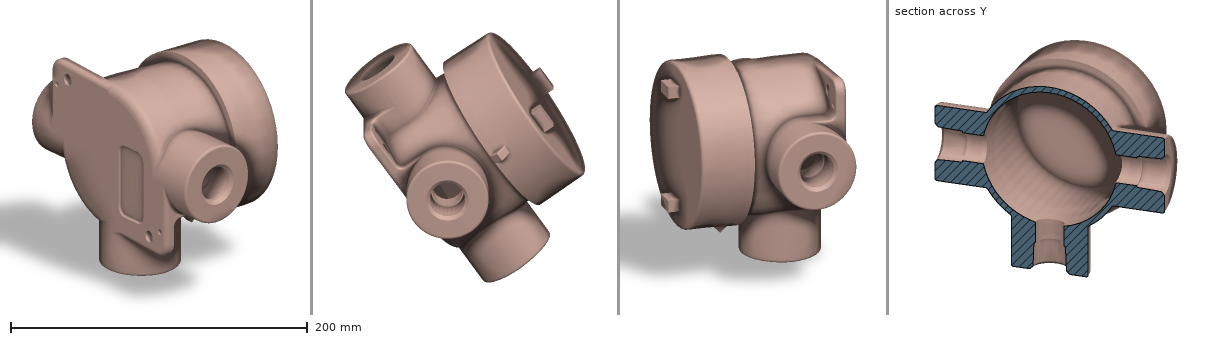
import cadquery as cq
import math


hub_reach = 82.5
hub_radius = 27.7
hub_end_draft = 1.0
hub_rim_fillet = 1.7
hub_angles = (0, 90, 180)
parting_y = hub_radius
entry_diameter = 28.7
entry_chamfer = 2.5
thread_depth = 19.8
thread_end_diameter = 22.5
bore_diameter = 20.1

body_radius = 53.0
body_front_fillet = 6.3
neck_diameter = 102.7
chamber_diameter = 97.0
front_wall = 6.6
blend_fillet = 1.5

ear_side = 61.3
ear_top = 52.0
ear_slope = 2.9
ear_corner_radius = 9.5
ear_thickness = 8.0
ear_front_fillet = 3.1
ear_back_fillet = 1.5
run_out_length = 15.8
pocket_fillet = 5.0
mount_hole_diameter = 8.1
mount_hole_offset = 43.3
pin_hole_diameter = 4.0
pin_hole_x = 54.8
pin_hole_z = 36.3

label_left = 10.7
label_width = 26.5
label_top = 14.5
label_height = 52.3
label_corner_radius = 6.6
label_depth = 1.3
label_wall_angle = 45

cover_front = 64.5
cover_back = 101.7
cover_radius = 58.1
cover_back_radius = 57.6
cover_rim_length = 6.3
cover_back_fillet = 2.1
cover_wall = 5.0
lug_width = 16.0
lug_inner = 36.3
lug_outer = 44.5
lug_back = 109.5
pointer_width = 6.6
pointer_tip = 64.9
pointer_half_base = 6.3
pointer_chamfer = 0.7

neck_end = cover_back - cover_wall
far = 2 * hub_reach


def around_body(shape, angle):
    """Turn a shape about the body axis."""
    return shape.rotate((0, 0, 0), (0, 1, 0), angle)


def revolve_about_y(points):
    """Turn an outline of (radius, y) points about the body axis."""
    return cq.Workplane("XY").polyline(points).close().revolve(360, (0, 0, 0), (0, 1, 0))


def cylinder_along_y(x, z, diameter, start, end):
    return cq.Workplane("XZ", origin=(x, start, z)).circle(diameter / 2).extrude(start - end)


def make_hub():
    """A hub along +X whose end slopes back both ways from the parting plane."""
    edge_reach = hub_reach - hub_radius * math.tan(math.radians(hub_end_draft))
    outline = [
        (0, 0),
        (edge_reach, 0),
        (hub_reach, parting_y),
        (edge_reach, 2 * parting_y),
        (0, 2 * parting_y),
    ]
    limits = cq.Workplane("XY").polyline(outline).close().extrude(hub_radius, both=True)
    hub = cq.Workplane("YZ", origin=(0, parting_y, 0)).circle(hub_radius).extrude(far).intersect(limits)
    return hub.edges("%ELLIPSE").fillet(hub_rim_fillet)


def make_hub_bore():
    """Chamfered, tapering entry along +X that ends on the lip of the through bore."""
    entry = entry_diameter / 2
    thread_start = entry - entry_chamfer
    bore = bore_diameter / 2
    outline = [
        (0, 0),
        (0, bore),
        (hub_reach - thread_depth, bore),
        (hub_reach - thread_depth, thread_end_diameter / 2),
        (hub_reach - entry_chamfer, thread_start),
        (hub_reach, entry),
        (far, entry),
        (far, 0),
    ]
    profile = cq.Workplane("XY").polyline(outline).close()
    return profile.revolve(360, (0, 0, 0), (1, 0, 0)).translate((0, parting_y, 0))


def make_ear(pocket_edge):
    """Upper left ear: a thin plate that thickens to a block beside the hubs.

    The pocket behind the plate is the part beyond X = -pocket_edge and above the left hub.
    """
    rise = ear_side * math.tan(math.radians(ear_slope))
    outline = [(0, 0), (0, ear_top), (-ear_side, ear_top + rise), (-ear_side, 0)]
    ear = cq.Workplane("XZ").polyline(outline).close().extrude(-parting_y)
    corner = (-ear_side, parting_y / 2, ear_top + rise)
    ear = ear.edges(cq.NearestToPointSelector(corner)).fillet(ear_corner_radius)
    pocket = cq.Workplane("XY").box(far, far, far, centered=False)
    pocket = pocket.translate((-far - pocket_edge, ear_thickness, hub_radius))
    pocket = pocket.edges("(<Y and |X and <Z) or (<Y and |Z and >X)").fillet(pocket_fillet)
    ear = ear.cut(pocket)
    middle = ear_top / 2
    ear = ear.edges(cq.NearestToPointSelector((-ear_side, 0, middle))).fillet(ear_front_fillet)
    back_edge = (-ear_side, ear_thickness, 0.75 * ear_top)
    return ear.edges(cq.NearestToPointSelector(back_edge)).fillet(ear_back_fillet)


def make_run_out(corners):
    """Flat wedge that fills an ear's front rounding where the ear meets a hub."""
    return cq.Workplane("XZ").polyline(corners).close().extrude(-ear_front_fillet)


def make_side_run_out():
    """Run-out on the side of the upper ear, down to the left hub."""
    inner_x = ear_front_fillet - ear_side
    return make_run_out([(inner_x, 0), (-ear_side - blend_fillet, 0), (inner_x, run_out_length)])


def make_bottom_run_out():
    """Run-out on the bottom edge of the lower ear, over to the lower hub."""
    inner_z = ear_front_fillet - ear_top
    drop = run_out_length * math.tan(math.radians(ear_slope))
    return make_run_out([(0, inner_z), (0, -ear_top - blend_fillet), (run_out_length, inner_z - drop)])


def make_label_recess():
    outline = cq.Sketch().rect(label_width, label_height).vertices().fillet(label_corner_radius)
    center = (label_left + label_width / 2, 0, label_top - label_height / 2)
    plane = cq.Workplane("XZ", origin=center)
    return plane.placeSketch(outline).extrude(-label_depth, taper=label_wall_angle)


def blend(body, near_point):
    """Fillet the edge nearest a point, together with the edges that run on smoothly from it."""
    return body.edges(cq.NearestToPointSelector(near_point)).fillet(blend_fillet)


def make_body():
    """Solid round body: rounded front, straight to the parting plane, then narrowing to the neck."""
    body = revolve_about_y(
        [
            (0, 0),
            (body_radius, 0),
            (body_radius, parting_y),
            (neck_diameter / 2, cover_front),
            (neck_diameter / 2, neck_end),
            (0, neck_end),
        ]
    )
    return body.faces("<Y").edges().fillet(body_front_fillet)


def make_housing():
    housing = make_body()
    for angle in hub_angles:
        housing = housing.union(around_body(make_hub(), angle))
    housing = housing.union(make_ear(0))
    housing = housing.union(around_body(make_ear(hub_radius), 180))

    housing = housing.cut(cylinder_along_y(0, 0, chamber_diameter, front_wall, neck_end))
    for angle in hub_angles:
        housing = housing.cut(around_body(make_hub_bore(), angle))
    for side in (1, -1):
        mount_x = -side * mount_hole_offset
        mount_z = side * mount_hole_offset
        pin_x = -side * pin_hole_x
        pin_z = side * pin_hole_z
        housing = housing.cut(cylinder_along_y(mount_x, mount_z, mount_hole_diameter, 0, parting_y))
        housing = housing.cut(cylinder_along_y(pin_x, pin_z, pin_hole_diameter, 0, parting_y))
    housing = housing.cut(make_label_recess())

    for side in (-1, 1):
        housing = blend(housing, (side * ear_side, parting_y / 3, -side * hub_radius * 3 / 4))
    housing = housing.union(make_side_run_out()).union(make_bottom_run_out())
    for side in (-1, 1):
        housing = blend(housing, (side * body_radius, parting_y * 3 / 2, side * hub_radius / 2))
    return housing


def make_pointer():
    """V-shaped pointer under the cover rim."""
    tip_y = cover_front + pointer_half_base
    back_y = tip_y + pointer_half_base
    base_z = pointer_half_base - pointer_tip
    root_z = base_z + pointer_half_base
    outline = [
        (cover_front, root_z),
        (cover_front, base_z),
        (tip_y, -pointer_tip),
        (back_y, base_z),
        (back_y, root_z),
    ]
    pointer = cq.Workplane("YZ").polyline(outline).close().extrude(pointer_width / 2, both=True)
    return pointer.faces("<X or >X").edges("not(|Y or |Z)").chamfer(pointer_chamfer)


def make_cover():
    """Cup that fits over the neck, with two lugs on its back."""
    cover = revolve_about_y(
        [
            (0, cover_front),
            (cover_radius, cover_front),
            (cover_radius, cover_front + cover_rim_length),
            (cover_back_radius, cover_back),
            (0, cover_back),
        ]
    )
    cover = cover.faces(">Y").edges().fillet(cover_back_fillet)
    for side in (1, -1):
        lug = cq.Workplane("XY").box(lug_width, lug_back - neck_end, lug_outer - lug_inner)
        place = (0, (lug_back + neck_end) / 2, side * (lug_outer + lug_inner) / 2)
        cover = cover.union(lug.translate(place))
    cover = cover.union(make_pointer())
    return cover.cut(cylinder_along_y(0, 0, neck_diameter, cover_front, neck_end))


housing = make_housing()
cover = make_cover()
result = cq.Compound.makeCompound([housing.solids().val(), cover.solids().val()])